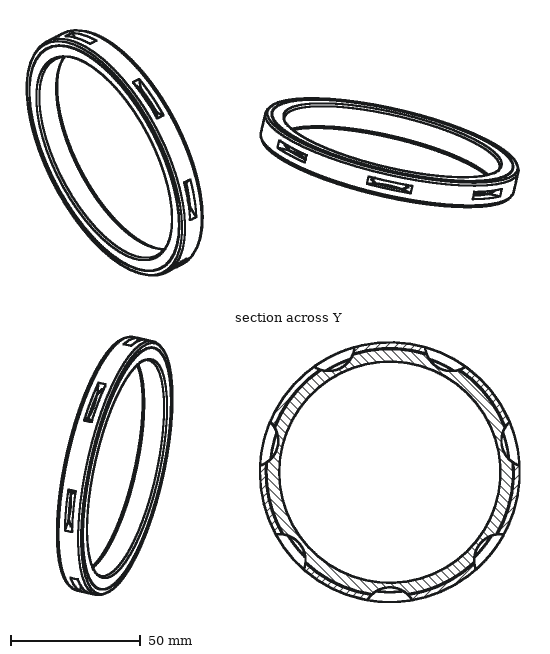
import cadquery as cq
import math

outer_radius = 50.0
bore_radius = 42.5
ring_width = 10.0
front_step = 0.1

chamfer_length = 1.0
chamfer_depth = 0.6

inner_ridge_radius = 47.5
radial_gap = 0.2

slot_count = 7
slot_width = 3.0
cutter_radius = 10.0
cutter_center_radius = 54.3
slot_pitch = 360.0 / slot_count
first_slot_angle = -90.0

half_width = ring_width / 2
quarter_width = half_width / 2
groove_depth = quarter_width
front_y = -half_width
inner_front_y = front_y - front_step
back_y = half_width


def labyrinth_line(ridge_radius):
    """W-shaped (radius, y) line from the front face to the back face."""
    groove_radius = ridge_radius - groove_depth
    return [
        (ridge_radius, front_y),
        (groove_radius, -quarter_width),
        (ridge_radius, 0),
        (groove_radius, quarter_width),
        (ridge_radius, back_y),
    ]


def revolve_ring(outline):
    """Revolve a closed (radius, y) outline about the Y axis."""
    return cq.Workplane("XY").polyline(outline).close().revolve(360, (0, 0, 0), (0, 1, 0))


def cut_slots(ring):
    """Cut the equally spaced slots with disc cutters."""
    for index in range(slot_count):
        angle = math.radians(first_slot_angle + index * slot_pitch)
        center_x = cutter_center_radius * math.cos(angle)
        center_z = cutter_center_radius * math.sin(angle)
        start = cq.Vector(center_x, -slot_width / 2, center_z)
        cutter = cq.Solid.makeCylinder(cutter_radius, slot_width, start, cq.Vector(0, 1, 0))
        ring = ring.cut(cq.Workplane(obj=cutter))
    return ring


def make_outer_ring():
    rim = [
        (outer_radius - chamfer_depth, back_y),
        (outer_radius, back_y - chamfer_length),
        (outer_radius, front_y + chamfer_length),
        (outer_radius - chamfer_depth, front_y),
    ]
    return cut_slots(revolve_ring(labyrinth_line(inner_ridge_radius + radial_gap) + rim))


def make_inner_ring():
    bore = [
        (bore_radius + chamfer_depth, back_y),
        (bore_radius, back_y - chamfer_length),
        (bore_radius, inner_front_y + chamfer_length),
        (bore_radius + chamfer_depth, inner_front_y),
        (inner_ridge_radius, inner_front_y),
    ]
    return cut_slots(revolve_ring(labyrinth_line(inner_ridge_radius) + bore))


outer_ring = make_outer_ring()
inner_ring = make_inner_ring()

result = cq.Compound.makeCompound([outer_ring.val(), inner_ring.val()])